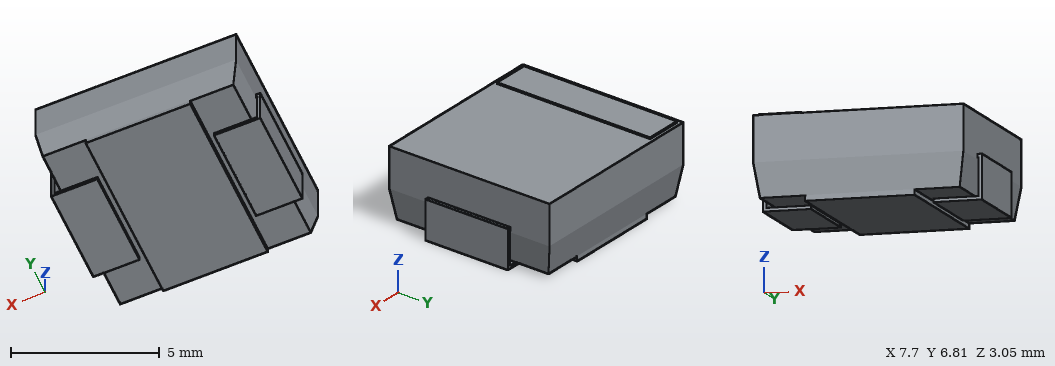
import cadquery as cq

overall_length = 7.7
overall_height = 3.05
body_width = 6.81

mark_thickness = 0.055
mark_length = 1.48
mark_margin = 0.155

side_gap = 0.155
body_length = overall_length - 2 * side_gap
body_top = overall_height - mark_thickness
parting_height = 1.37
standoff_height = 0.185
taper_inset = 0.185
base_length = body_length - 2 * taper_inset
base_width = body_width - 2 * taper_inset
standoff_length = 3.85

lead_thickness = 0.12
lead_width = 3.5
lead_height = 1.57
foot_length = 1.7


def make_housing():
    """Straight upper block, tapered lower part and standoff in one solid."""
    upper = (
        cq.Workplane("XY", origin=(0, 0, parting_height))
        .rect(body_length, body_width)
        .extrude(body_top - parting_height)
    )
    lower = (
        cq.Workplane("XY", origin=(0, 0, standoff_height))
        .rect(base_length, base_width)
        .workplane(offset=parting_height - standoff_height)
        .rect(body_length, body_width)
        .loft(ruled=True)
    )
    standoff = cq.Workplane("XY").rect(standoff_length, base_width).extrude(standoff_height)
    return upper.union(lower).union(standoff)


def make_mark():
    """Thin strip along the -X edge of the top face."""
    center_x = -body_length / 2 + mark_margin + mark_length / 2
    return (
        cq.Workplane("XY", origin=(center_x, 0, body_top))
        .rect(mark_length, body_width - 2 * mark_margin)
        .extrude(mark_thickness)
    )


def make_lead(side):
    """Foot, upright and short top lip touching the housing; side is -1 or +1 along X."""
    outer = side * overall_length / 2
    inner = outer - side * lead_thickness
    lip_end = outer - side * side_gap
    foot_end = outer - side * foot_length
    lip_bottom = lead_height - lead_thickness
    return (
        cq.Workplane("XZ")
        .moveTo(outer, 0)
        .lineTo(outer, lead_height)
        .lineTo(lip_end, lead_height)
        .lineTo(lip_end, lip_bottom)
        .lineTo(inner, lip_bottom)
        .lineTo(inner, lead_thickness)
        .lineTo(foot_end, lead_thickness)
        .lineTo(foot_end, 0)
        .close()
        .extrude(lead_width / 2, both=True)
    )


housing = make_housing()
mark = make_mark()
leads = [make_lead(side) for side in (-1, 1)]

result = cq.Compound.makeCompound([housing.val(), mark.val(), *[lead.val() for lead in leads]])